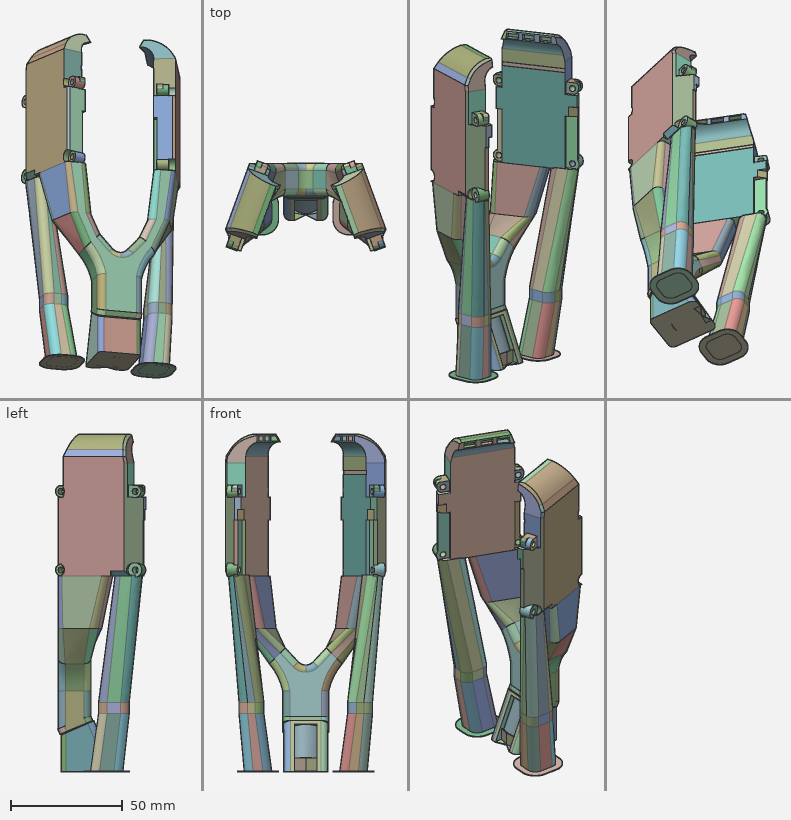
import cadquery as cq
import math

total_height = 150.75
half_width = 35.84
tilt = 20.0
overlap = 0.5
tolerance = 0.01

corner_y = -29.5
panel_bottom = 87.4
panel_depth = 9.8
panel_front = 1.1
panel_back = -29.0
flange_depth = 8.2
flange_front = 6.5
flange_back = -31.8
flange_top = 122.6
belt_front = 6.8
belt_bottom = 112.4
belt_corner_top = 117.0
belt_corner_length = 3.9
bevel_height = 2.3
bevel_back = -6.5
hood_start = 140.8
hood_front_start = 137.9
groove_bottom = 132.8
groove_height = 1.8
groove_depth = 0.2

hook_radius = 13.0 / 2
hook_tip = panel_depth + hook_radius
hook_flat_start = 12.0
hook_top_end = hook_tip - 1.7
hood_facet_u = 1.7
hood_facet_z = 143.8
hood_arc_mid = (5.9, 148.2)
hood_front_taper = 2.8
hood_back_taper = 3.2
lip_setback = 1.8
lip_slope_back = -25.5
lip_slope_front = -19.0
lip_floor = hood_start + hook_radius + 0.4
lip_pocket_height = 2.2
lip_pocket_depth = 2.0
lip_pocket_width = 5.5
lip_pocket_places = (-22.0, -14.5, -6.5)

lug_hole = 2.7
lug_low_z = 90.1
lug_high_z = 125.2
lug_outer_u = 2.9
front_lug_v = 4.1
front_lug_low_radius = 3.2
front_lug_high_radius = 2.8
back_lug_v = -31.1
back_lug_radius = 2.6
lug_recess_gap = 0.1
lug_block_u = 5.4

stem_half = 10.3
stem_depth = 14.7
fork_round = 3.2
stem_top = 36.0
crotch_z = 47.7
crotch_radius = 4.65
arm_lower_mid = (12.5, 42.4)
arm_upper = (9.15, 55.35)
arm_lower = (16.3, 48.2)
arm_bend_z = 64.0
arm_bend_inner = 11.8
arm_bend_outer = 22.3
arm_bend_front = 20.5
arm_top_back = -34.5
arm_top_front = -8.2
arm_top_round = 2.5

lean = 22.7
seat_z = 18.6
collar_length = 2.8
collar_chamfer = 0.8
socket_half = 9.9
socket_back = -1.3
socket_depth = 16.4
socket_front_round = 3.0
socket_back_round = 2.3
window_half = 5.0
notch_depth = 2.5
ridge_side_y = -22.2
floor_thickness = 0.4
notch_height = 7.0

pin_diameter = 15.0
bore_diameter = 15.2
pin_cover = 0.4
bore_centre = socket_depth - pin_cover - bore_diameter / 2
pin_start = 3.9
pin_end = 20.1

leg_knee_x, leg_knee_y = 24.25, -24.9
leg_foot = (0.0, 21.3, -21.7, 12.4, 14.5, 4.0, 0.0)
leg_knee_low = (26.0, leg_knee_x, leg_knee_y, 11.2, 13.8, 3.9, 0.0)
leg_knee_high = (31.0, leg_knee_x, leg_knee_y, 11.2, 13.8, 3.9, 0.0)
leg_head = (panel_bottom + overlap, 29.9, -31.6, 7.5, 12.5, 3.5, tilt)
brim_width = 3.0
brim_thickness = 0.4

sin_tilt = math.sin(math.radians(tilt))
cos_tilt = math.cos(math.radians(tilt))
sin_lean = math.sin(math.radians(lean))
cos_lean = math.cos(math.radians(lean))

panel_frame = cq.Plane(
    origin=(half_width, corner_y, 0), xDir=(-cos_tilt, -sin_tilt, 0), normal=(0, 0, 1)
)
seat_frame = cq.Plane(origin=(0, 0, seat_z), xDir=(1, 0, 0), normal=(0, -sin_lean, -cos_lean))


def panel_point(u, v):
    """World x, y of a point given in the right panel's frame."""
    x = half_width - u * cos_tilt + v * sin_tilt
    y = corner_y - u * sin_tilt - v * cos_tilt
    return (x, y)


def box(x_range, y_range, z_range):
    """Box between the given limits."""
    size = [limits[1] - limits[0] for limits in (x_range, y_range, z_range)]
    low = (x_range[0], y_range[0], z_range[0])
    return cq.Workplane("XY").box(*size, centered=False).translate(low)


def section(plane, corners, radius):
    """Wire through the corners, every corner rounded."""
    face = cq.Sketch().polygon(corners + corners[:1]).vertices().fillet(radius)
    return face._faces.Faces()[0].outerWire().moved(plane.location)


def u_rod(radius, v, z, start, end):
    """Cylinder along u."""
    return (
        cq.Workplane("YZ", origin=(start, 0, 0)).center(v, z).circle(radius).extrude(end - start)
    )


def hood_shell():
    """Upper panel: straight wall that curls inward into a hooked hood."""
    profile = (
        cq.Workplane("XZ", origin=(0, panel_front, 0))
        .moveTo(0, panel_bottom)
        .lineTo(0, hood_start)
        .lineTo(hood_facet_u, hood_facet_z)
        .threePointArc(hood_arc_mid, (hook_flat_start, total_height))
        .lineTo(hook_top_end, total_height)
        .lineTo(hook_tip, hood_start + hook_radius)
        .radiusArc((panel_depth, hood_start), -hook_radius)
        .lineTo(panel_depth, panel_bottom)
        .close()
        .extrude(panel_front - panel_back)
    )
    side_outline = (
        cq.Workplane("YZ")
        .polyline([
            (panel_back, panel_bottom),
            (panel_front, panel_bottom),
            (panel_front, hood_front_start),
            (panel_front - hood_front_taper, total_height),
            (panel_back + hood_back_taper, total_height),
            (panel_back, hood_start),
        ])
        .close()
        .extrude(hook_tip)
    )
    hood = profile.intersect(side_outline)

    def on_outer_front_rim(edge):
        """True on the front rim's stretches between outer face, facet, arc and hood top."""
        ends = sorted((edge.startPoint(), edge.endPoint()), key=lambda point: point.z)
        on_front = ends[0].y > panel_front - hood_front_taper - tolerance
        rises = ends[1].z - ends[0].z > tolerance
        outer_start = ends[0].x < hood_facet_u + tolerance
        return on_front and rises and outer_start and ends[1].x < hook_flat_start + tolerance

    rim = [edge for edge in hood.edges().vals() if on_outer_front_rim(edge)]
    return hood.newObject(rim).chamfer(panel_front)


def lip_cuts():
    """Set-back of the lip in front of the hook's tip, and the pockets in its face."""
    lip_u = hook_tip - lip_setback
    cuts = (
        cq.Workplane("XY", origin=(0, 0, hood_start))
        .polyline([
            (hook_tip, lip_slope_back),
            (lip_u, lip_slope_front),
            (lip_u, panel_front),
            (hook_tip, panel_front),
        ])
        .close()
        .extrude(total_height - hood_start)
    )
    for v in lip_pocket_places:
        cuts = cuts.union(box(
            (lip_u - lip_pocket_depth, hook_tip),
            (v - lip_pocket_width / 2, v + lip_pocket_width / 2),
            (lip_floor, lip_floor + lip_pocket_height),
        ))
    return cuts


def flange(depth, front, bottom, top):
    """Lower panel with chamfered front flange and back flange, for given inner depth and front."""
    return (
        cq.Workplane("XY", origin=(0, 0, bottom))
        .polyline([
            (0, 0),
            (front, front),
            (depth, front),
            (depth, flange_back),
            (0, flange_back),
        ])
        .close()
        .extrude(top - bottom)
    )


def lug(root_v, v, z, radius, squared):
    """Screw lug reaching from the panel to an eye; a squared one has a flat top."""
    body = u_rod(radius, v, z, lug_outer_u, flange_depth)
    low_v, high_v = min(root_v, v), max(root_v, v)
    body = body.union(box((lug_outer_u, flange_depth), (low_v, high_v), (z - radius, z + radius)))
    if squared:
        tip_v = v + math.copysign(radius, v - root_v)
        low_v, high_v = min(root_v, tip_v), max(root_v, tip_v)
        top = box((lug_block_u, flange_depth), (low_v, high_v), (z, z + radius))
        tip_edge = ">Y" if tip_v > root_v else "<Y"
        body = body.union(top.faces(tip_edge).edges(">Z").fillet(radius / 2))
    return body


def belt_corner():
    """Slanted cut across the front inner corner of the belt's lower part."""
    return (
        cq.Workplane("XY", origin=(0, 0, belt_bottom))
        .polyline([
            (flange_depth, belt_front),
            (panel_depth, belt_front),
            (panel_depth, belt_front - belt_corner_length),
        ])
        .close()
        .extrude(belt_corner_top - belt_bottom)
    )


def bottom_bevel():
    """Bevel along the lower outer edge of the panel, next to the leg."""
    return (
        cq.Workplane("XZ", origin=(0, flange_front, 0))
        .polyline([
            (0, panel_bottom),
            (0, panel_bottom + bevel_height),
            (bevel_height, panel_bottom),
        ])
        .close()
        .extrude(flange_front - bevel_back)
    )


def build_panel():
    """Right side panel, placed in the world."""
    panel = hood_shell().cut(lip_cuts())
    lower = flange(flange_depth, flange_front, panel_bottom, flange_top)
    belt = flange(panel_depth, belt_front, belt_bottom, flange_top)
    lower = lower.union(belt.cut(belt_corner()))
    panel = panel.union(lower).cut(bottom_bevel())

    eyes = []
    levels = ((lug_low_z, front_lug_low_radius, False), (lug_high_z, front_lug_high_radius, True))
    for z, front_radius, squared in levels:
        eyes.append((panel_front - overlap, front_lug_v, z, front_radius, squared))
        eyes.append((panel_back + overlap, back_lug_v, z, back_lug_radius, squared))
    for root_v, v, z, radius, squared in eyes:
        panel = panel.cut(u_rod(radius + lug_recess_gap, v, z, 0, lug_outer_u))
    panel = panel.val().moved(panel_frame.location)
    behind = box((0, half_width), (0, -corner_y), (0, total_height))
    panel = cq.Workplane(panel).cut(behind)
    for root_v, v, z, radius, squared in eyes:
        body = lug(root_v, v, z, radius, squared)
        panel = panel.union(cq.Workplane(body.val().moved(panel_frame.location)))
    for root_v, v, z, radius, squared in eyes:
        hole = u_rod(lug_hole / 2, v, z, 0, panel_depth)
        panel = panel.cut(cq.Workplane(hole.val().moved(panel_frame.location)))
    return panel


def leg_section(station, grow=0.0):
    """Rounded rectangle of one station, optionally grown outward all round."""
    z, x, y, width, length, radius, turn = station
    turn = math.radians(turn)
    plane = cq.Plane(origin=(x, y, z), xDir=(-math.cos(turn), -math.sin(turn), 0), normal=(0, 0, 1))
    half_u = width / 2 + grow
    half_v = length / 2 + grow
    corners = [(-half_u, -half_v), (half_u, -half_v), (half_u, half_v), (-half_u, half_v)]
    return section(plane, corners, radius + grow)


def build_leg():
    """Right leg with its brim, bent at the knee."""
    stations = [leg_foot, leg_knee_low, leg_knee_high, leg_head]
    leg = cq.Workplane(cq.Solid.makeLoft([leg_section(s) for s in stations], True))
    brim_face = cq.Face.makeFromWires(leg_section(leg_foot, brim_width))
    brim = cq.Solid.extrudeLinear(brim_face, cq.Vector(0, 0, brim_thickness))
    return leg.union(cq.Workplane(brim))


def build_fork():
    """Y-shaped centre from a mirrored half, cut off below by the slanted seat."""
    end_width = math.dist(arm_upper, arm_lower)
    along = ((arm_upper[1] - arm_lower[1]) / end_width, (arm_lower[0] - arm_upper[0]) / end_width)
    crotch_side = (crotch_radius * along[1], crotch_z + crotch_radius * (1 - along[0]))
    fork = (
        cq.Workplane("XZ")
        .moveTo(0, 0)
        .lineTo(stem_half, 0)
        .lineTo(stem_half, stem_top)
        .threePointArc(arm_lower_mid, arm_lower)
        .lineTo(*arm_upper)
        .lineTo(*crotch_side)
        .radiusArc((0, crotch_z), crotch_radius)
        .close()
        .extrude(stem_depth)
    )
    end_x = (arm_upper[0] + arm_lower[0]) / 2
    rim = fork.faces("<Y or >Y").edges()

    def is_rounded(edge):
        """True away from the centre plane, the arm's end and the foot."""
        middle = edge.Center()
        return min(abs(middle.x - end_x), middle.x, middle.z) > tolerance

    rounded = [edge for edge in rim.vals() if is_rounded(edge)]
    fork = fork.newObject(rounded).fillet(fork_round)
    below_seat = cq.Workplane(seat_frame).rect(4 * stem_half, 8 * stem_depth).extrude(2 * seat_z)
    return fork.union(fork.mirror("YZ")).cut(below_seat)


def build_arm():
    """Right arm from the fork's end up to the underside of the panel."""
    end_length = math.dist(arm_upper, arm_lower)
    across = ((arm_lower[0] - arm_upper[0]) / end_length, (arm_lower[1] - arm_upper[1]) / end_length)
    end_plane = cq.Plane(
        origin=(arm_upper[0], 0, arm_upper[1]),
        xDir=(across[0], 0, across[1]),
        normal=(-across[1], 0, across[0]),
    )
    end_corners = [(0, 0), (end_length, 0), (end_length, -stem_depth), (0, -stem_depth)]
    slope = math.tan(math.radians(tilt))
    bend_outer_y = -arm_bend_front + (arm_bend_outer - arm_bend_inner) * sin_tilt
    bend_corners = [
        (arm_bend_inner, 0),
        (arm_bend_outer, 0),
        (arm_bend_outer - bend_outer_y * slope, bend_outer_y),
        (arm_bend_inner + arm_bend_front * slope, -arm_bend_front),
    ]
    top_corners = [
        (panel_point(panel_depth, arm_top_back)[0], 0),
        (half_width + corner_y * slope, 0),
        panel_point(0, arm_top_front),
        panel_point(panel_depth, arm_top_front),
    ]
    bend_plane = cq.Plane(origin=(0, 0, arm_bend_z))
    top_plane = cq.Plane(origin=(0, 0, panel_bottom))
    sections = [
        section(end_plane, end_corners, fork_round),
        section(bend_plane, bend_corners, fork_round),
        section(top_plane, top_corners, arm_top_round),
    ]
    return cq.Workplane(cq.Solid.makeLoft(sections, True))


def seat_point(forward, down):
    """World y, z of a point given in the seat frame."""
    return (
        -forward * cos_lean - down * sin_lean,
        seat_z + forward * sin_lean - down * cos_lean,
    )


def build_collar():
    """Collar under the stem, square to the lean."""
    collar = (
        box((-stem_half, stem_half), (0, stem_depth / cos_lean), (-overlap, collar_length))
        .edges("|Z")
        .fillet(fork_round)
        .faces(">Z")
        .chamfer(collar_chamfer)
    )
    return cq.Workplane(collar.val().moved(seat_frame.location))


def seat_slab(half_x, forward_range, down_range):
    """Box lined up with the seat frame."""
    slab = box((-half_x, half_x), forward_range, down_range)
    return cq.Workplane(slab.val().moved(seat_frame.location))


def along_lean(diameter):
    """Cylinder on the pin's axis, as long as the pin."""
    return (
        cq.Workplane(seat_frame)
        .workplane(offset=pin_start)
        .center(0, bore_centre)
        .circle(diameter / 2)
        .extrude(pin_end - pin_start)
    )


def plan_cut(corners, bottom):
    """Upright prism reaching from the given height into the window."""
    return (
        cq.Workplane("XY", origin=(0, 0, bottom)).polyline(corners).close().extrude(notch_height - bottom)
    )


def build_socket():
    """Leaning socket under the collar, and the tools for its bore, window, notch and hollow."""
    foot_y = -(socket_depth + seat_z * sin_lean) / cos_lean
    back_top = seat_z - socket_back * sin_lean / cos_lean - collar_length
    side = [
        (socket_back, 0),
        (foot_y, 0),
        seat_point(socket_depth, collar_length - overlap),
        (socket_back, back_top),
    ]
    socket = (
        cq.Workplane("YZ", origin=(-socket_half, 0, 0)).polyline(side).close().extrude(2 * socket_half)
    )
    front_edges = cq.selectors.ParallelDirSelector(cq.Vector(0, sin_lean, cos_lean), tolerance)
    socket = socket.edges(front_edges).fillet(socket_front_round)
    socket = socket.faces(">Y").edges("|Z").fillet(socket_back_round)

    window = seat_slab(window_half, (bore_centre, 2 * socket_depth), (pin_start, pin_end))
    rim_y = foot_y - overlap
    ridge = (0, foot_y + notch_depth)
    rim = [(-window_half, rim_y), (window_half, rim_y)]
    notch = plan_cut(rim + [(window_half, foot_y), ridge, (-window_half, foot_y)], 0)
    flanks = [(window_half, ridge_side_y), ridge, (-window_half, ridge_side_y)]
    hollow = plan_cut(rim + flanks, floor_thickness)
    return socket, [along_lean(bore_diameter), window, notch, hollow]


right_half = build_panel().union(build_leg()).union(build_arm())
left_half = right_half.mirror("YZ")
groove = box(
    (panel_depth - groove_depth, panel_depth),
    (panel_back, panel_front),
    (groove_bottom, groove_bottom + groove_height),
)
right_half = right_half.cut(cq.Workplane(groove.val().moved(panel_frame.location)))

socket, openings = build_socket()
frame = build_fork().union(build_collar()).union(socket).union(right_half).union(left_half)
for opening in openings:
    frame = frame.cut(opening)
pin = along_lean(pin_diameter)
result = cq.Compound.makeCompound([frame.val(), pin.val()])